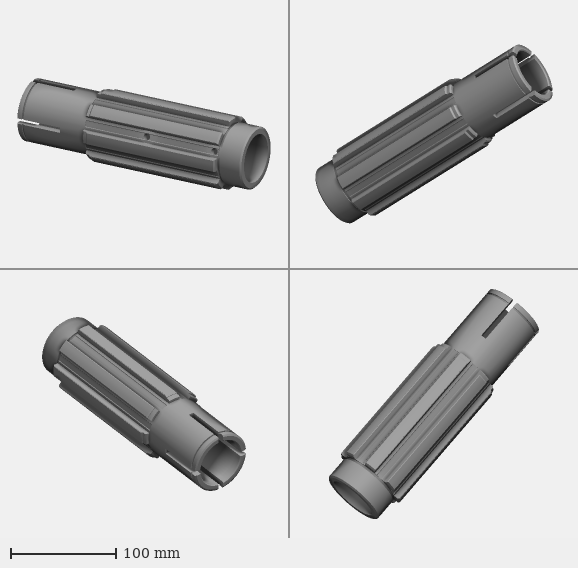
import cadquery as cq
import math

length = 243.0
splined_start = 73.5
splined_end = 217.5
neck_end = 220.2

tube_radius = 30.6
bore_radius = 23.8
neck_radius = 29.2
rear_chamfer = 1.5
front_chamfer_depth = 1.7
front_chamfer_length = 1.0
bore_chamfer = 1.0

ring_groove_start = 5.5
ring_groove_width = 2.0
ring_groove_radius = 29.2

slot_width = 5.3
slot_length = 47.1
slot_count = 4

rib_count = 8
rib_radius = 36.5
rib_width = 12.2
rib_chamfer = 1.2
rib_rear_chamfer = 1.5
rib_edge_chamfer = 0.5
rib_step_radius = 34.8
rib_step_end = 77.8

rib_pitch = 360.0 / rib_count
groove_mouth_width = 7.0
groove_floor_width = 5.5
groove_floor_radius = 30.0

hole_diameter = 6.8
hole_stations = (139.7, 213.0)
hole_angle = 270.0 + rib_pitch / 2


def revolve_about_x(points):
    """Spin a closed (x, radius) outline about the X axis."""
    return cq.Workplane("XY").polyline(points).close().revolve(360, (0, 0, 0), (1, 0, 0))


def splined_bar(section, angle):
    """Run a closed (radius, offset) section along the ribbed length, turned about X from +Y."""
    bar = cq.Workplane("YZ", origin=(splined_start, 0, 0)).polyline(section).close()
    bar = bar.extrude(splined_end - splined_start)
    return bar.rotate((0, 0, 0), (1, 0, 0), angle)


def make_tube():
    """Solid turned body with its ring groove, neck and end chamfers."""
    ring_groove_end = ring_groove_start + ring_groove_width
    return revolve_about_x([
        (0, 0),
        (0, tube_radius - front_chamfer_depth),
        (front_chamfer_length, tube_radius),
        (ring_groove_start, tube_radius),
        (ring_groove_start, ring_groove_radius),
        (ring_groove_end, ring_groove_radius),
        (ring_groove_end, tube_radius),
        (splined_end, tube_radius),
        (splined_end, neck_radius),
        (neck_end, neck_radius),
        (neck_end, tube_radius),
        (length - rear_chamfer, tube_radius),
        (length, tube_radius - rear_chamfer),
        (length, 0),
    ])


def make_ribs():
    """Ribs sliced from one turned sleeve that carries the step and the end chamfers."""
    sleeve = revolve_about_x([
        (splined_start, bore_radius),
        (splined_start, rib_step_radius - rib_chamfer),
        (splined_start + rib_chamfer, rib_step_radius),
        (rib_step_end, rib_step_radius),
        (rib_step_end, rib_radius - rib_chamfer),
        (rib_step_end + rib_chamfer, rib_radius),
        (splined_end - rib_rear_chamfer, rib_radius),
        (splined_end, rib_radius - rib_rear_chamfer),
        (splined_end, bore_radius),
    ])
    half_width = rib_width / 2
    flank_height = math.sqrt(rib_radius ** 2 - half_width ** 2)
    section = [
        (bore_radius, -half_width),
        (flank_height - rib_edge_chamfer, -half_width),
        (flank_height, rib_edge_chamfer - half_width),
        (rib_radius, rib_edge_chamfer - half_width),
        (rib_radius, half_width - rib_edge_chamfer),
        (flank_height, half_width - rib_edge_chamfer),
        (flank_height - rib_edge_chamfer, half_width),
        (bore_radius, half_width),
    ]
    bars = cq.Workplane("XY")
    for index in range(rib_count):
        bars = bars.add(splined_bar(section, index * rib_pitch))
    return sleeve.intersect(bars.combine())


def cut_grooves(body):
    """Sloped-sided grooves running the length of the ribbed section."""
    half_mouth = groove_mouth_width / 2
    half_floor = groove_floor_width / 2
    section = [
        (groove_floor_radius, -half_floor),
        (tube_radius, -half_mouth),
        (rib_radius, -half_mouth),
        (rib_radius, half_mouth),
        (tube_radius, half_mouth),
        (groove_floor_radius, half_floor),
    ]
    for index in range(rib_count):
        body = body.cut(splined_bar(section, (index + 0.5) * rib_pitch))
    return body


def cut_bore(body):
    """Through bore with a small chamfer at the slotted mouth."""
    mouth_radius = bore_radius + bore_chamfer
    return body.cut(revolve_about_x([
        (0, 0),
        (0, mouth_radius),
        (bore_chamfer, bore_radius),
        (length, bore_radius),
        (length, 0),
    ]))


def cut_slots(body):
    """Square-ended slots through the wall at the front end."""
    slot = cq.Workplane("XY").box(slot_length, tube_radius, slot_width, centered=(False, False, True))
    for index in range(slot_count):
        body = body.cut(slot.rotate((0, 0, 0), (1, 0, 0), index * 360.0 / slot_count))
    return body


def cut_holes(body):
    """Radial holes from one groove through to the bore."""
    turn = math.radians(hole_angle)
    direction = cq.Vector(0, math.sin(turn), math.cos(turn))
    for station in hole_stations:
        hole = cq.Solid.makeCylinder(hole_diameter / 2, rib_radius, cq.Vector(station, 0, 0), direction)
        body = body.cut(cq.Workplane(hole))
    return body


body = make_tube().union(make_ribs())
body = cut_grooves(body)
body = cut_bore(body)
body = cut_slots(body)
result = cut_holes(body)